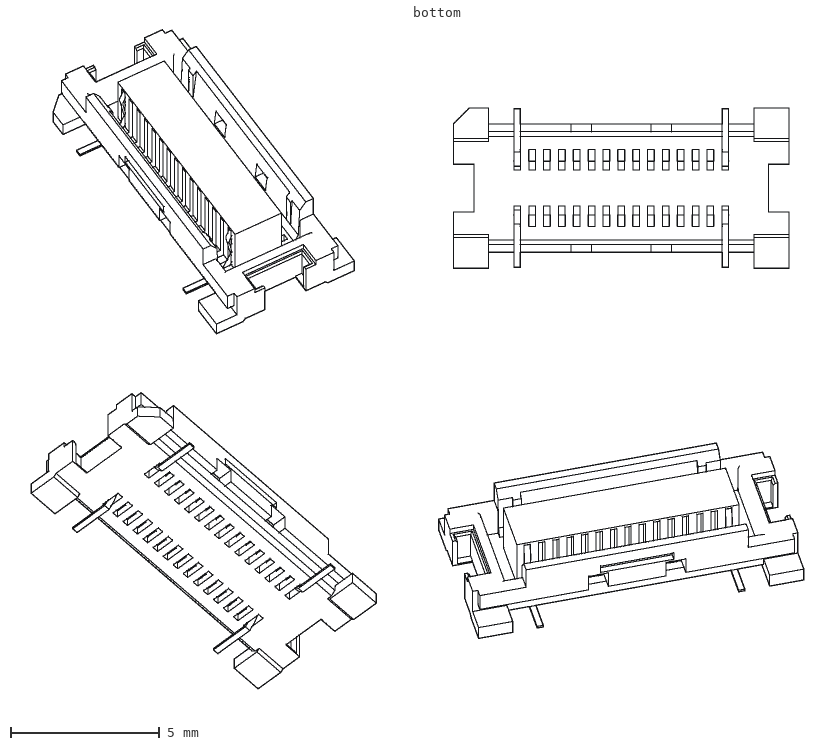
import cadquery as cq

TOP_Z = 2.32
RIM_Z = 1.5
FLOOR_Z = 0.46
BASE_Z = 0.14
OVERHANG_Z = 0.85

LENGTH = 11.3
BODY_WIDTH = 3.8
OVERHANG_LENGTH = 10.94
OVERHANG_WIDTH = 4.32
UNDERSIDE_CHAMFER = 0.16

CAVITY_LENGTH = 8.94
CAVITY_WIDTH = 3.26
CAVITY_RIM_RADIUS = 0.08
ISLAND_LENGTH = 7.72
ISLAND_WIDTH = 1.82
WALL_LENGTH = ISLAND_LENGTH
WALL_OUTER_Y = OVERHANG_WIDTH / 2
WALL_FOOT_Y = 1.42
WALL_FACE_Y = 1.565
WALL_FOOT_RISE = 0.3
LEAD_IN_TOP_Y = 1.86
LEAD_IN_BOTTOM_Z = 1.95

MIDDLE_RECESS_HALF = 3.07
MIDDLE_RECESS_Y = 1.7
END_RECESS_START = 3.36
END_RECESS_Y = 1.62

WINDOW_WIDTH = 0.68
WINDOW_X = 1.345
WINDOW_TOP_Z = 1.48
WALL_POCKET_LENGTH = 2.54
WALL_POCKET_BOTTOM_Z = 1.57
WALL_POCKET_TOP_Z = 1.86
WALL_POCKET_DEPTH = 0.22

END_STEP_X = 4.83
END_STEP_WIDTH = 2.38
END_STEP_Z = 1.29
END_POCKET_WIDTH = 2.1
END_POCKET_INNER_X = 4.96
END_POCKET_OUTER_X = 5.48
END_POCKET_FLOOR_Z = 0.2
END_POCKET_CHAMFER = 0.07
END_NOTCH_WIDTH = 1.6

FOOT_LENGTH = 1.19
FOOT_OUTER_Y = 2.7
FOOT_INNER_Y = 1.56
FOOT_TOP_Z = 0.55
FOOT_BOTTOM_Z = 0.035
CORNER_CHAMFER = 0.54

SLOT_COUNT = 15
SLOT_PITCH = 0.5
SLOT_WIDTH = 0.22
SLOT_INNER_Y = 0.6
SLOT_OUTER_Y = 1.29
SLOT_TOP_Z = 2.22
CONTACT_THICKNESS = 0.08
TAIL_TIP_Y = 2.67
TAIL_BEND_Y = 1.21
BEAM_FOOT_Y = 1.0
BEAM_FOOT_Z = 0.24
BEAM_WAIST_Y = 0.77
BEAM_WAIST_Z = 0.75
BUMP_Y = 0.99
BUMP_BOTTOM_Z = 1.59
BUMP_TOP_Z = 1.8
BEAM_TIP_Y = 0.82
BEAM_TIP_Z = 2.14


def block(x_range, y_range, z_range):
    """Box spanning the given (low, high) ranges."""
    spans = (x_range, y_range, z_range)
    sizes = [high - low for low, high in spans]
    corner = tuple(low for low, high in spans)
    return cq.Workplane("XY").box(*sizes, centered=False).translate(corner)


def centred_block(length, width, z_range):
    """Box centred on the Z axis."""
    return block((-length / 2, length / 2), (-width / 2, width / 2), z_range)


def extrude_yz(points, x_range):
    """Prism with a (Y, Z) outline, running along X."""
    low, high = x_range
    return cq.Workplane("YZ").polyline(points).close().extrude(high - low).translate((low, 0, 0))


def both_sides(shape):
    """The shape together with its mirror image across the XZ plane."""
    return shape.union(shape.mirror("XZ"))


def both_ends(shape):
    """The shape together with its mirror image across the YZ plane."""
    return shape.union(shape.mirror("YZ"))


def base_tray():
    """Lower block with its side overhang and the mating cavity."""
    body = centred_block(LENGTH, BODY_WIDTH, (BASE_Z, RIM_Z))
    body = body.faces("<Z").edges("|X").chamfer(UNDERSIDE_CHAMFER)
    body = body.union(centred_block(OVERHANG_LENGTH, OVERHANG_WIDTH, (OVERHANG_Z, RIM_Z)))
    cavity = centred_block(CAVITY_LENGTH, CAVITY_WIDTH, (FLOOR_Z, RIM_Z))
    body = body.cut(cavity)
    reach_x = CAVITY_LENGTH / 2 + CAVITY_RIM_RADIUS
    reach_y = CAVITY_WIDTH / 2 + CAVITY_RIM_RADIUS
    inside_rim = cq.selectors.BoxSelector(
        (-reach_x, -reach_y, RIM_Z - CAVITY_RIM_RADIUS),
        (reach_x, reach_y, RIM_Z + CAVITY_RIM_RADIUS),
    )
    return body.edges(inside_rim).fillet(CAVITY_RIM_RADIUS)


def lead_in_z(y):
    """Height of the sloping lead-in face at a given Y."""
    slope = (TOP_Z - LEAD_IN_BOTTOM_Z) / (LEAD_IN_TOP_Y - WALL_FACE_Y)
    return LEAD_IN_BOTTOM_Z + slope * (y - WALL_FACE_Y)


def wall_recess(x_range, top_y):
    """Drafted relief in the inner face of the +Y wall."""
    outline = [
        (WALL_FACE_Y, FLOOR_Z + WALL_FOOT_RISE),
        (top_y, lead_in_z(top_y)),
        (WALL_FACE_Y, lead_in_z(top_y)),
    ]
    return extrude_yz(outline, x_range)


def side_wall():
    """The raised +Y wall with its lead-in and flared foot."""
    half = WALL_LENGTH / 2
    outline = [
        (WALL_OUTER_Y, OVERHANG_Z),
        (WALL_OUTER_Y, TOP_Z),
        (LEAD_IN_TOP_Y, TOP_Z),
        (WALL_FACE_Y, LEAD_IN_BOTTOM_Z),
        (WALL_FACE_Y, FLOOR_Z + WALL_FOOT_RISE),
        (WALL_FOOT_Y, FLOOR_Z),
        (BODY_WIDTH / 2, FLOOR_Z),
        (BODY_WIDTH / 2, OVERHANG_Z),
    ]
    return extrude_yz(outline, (-half, half))


def wall_recesses():
    """One long recess in the middle of the +Y wall and a shallower one at each end."""
    middle = wall_recess((-MIDDLE_RECESS_HALF, MIDDLE_RECESS_HALF), MIDDLE_RECESS_Y)
    end = wall_recess((END_RECESS_START, WALL_LENGTH / 2), END_RECESS_Y)
    return middle.union(both_ends(end))


def wall_openings():
    """Two through windows and one blind pocket, cut into the +Y wall from outside."""
    window = block(
        (WINDOW_X - WINDOW_WIDTH / 2, WINDOW_X + WINDOW_WIDTH / 2),
        (WALL_FOOT_Y, WALL_OUTER_Y),
        (OVERHANG_Z, WINDOW_TOP_Z),
    )
    pocket = block(
        (-WALL_POCKET_LENGTH / 2, WALL_POCKET_LENGTH / 2),
        (WALL_OUTER_Y - WALL_POCKET_DEPTH, WALL_OUTER_Y),
        (WALL_POCKET_BOTTOM_Z, WALL_POCKET_TOP_Z),
    )
    return both_ends(window).union(pocket)


def end_recess():
    """Stepped recess, chamfered pocket and through notch in the +X end."""
    end_x = LENGTH / 2
    step = block((END_STEP_X, end_x), (-END_STEP_WIDTH / 2, END_STEP_WIDTH / 2), (END_STEP_Z, RIM_Z))
    pocket_length = END_POCKET_OUTER_X - END_POCKET_INNER_X
    pocket_x = (END_POCKET_OUTER_X + END_POCKET_INNER_X) / 2
    pocket = centred_block(pocket_length, END_POCKET_WIDTH, (END_POCKET_FLOOR_Z, END_STEP_Z))
    flare = (
        cq.Workplane("XY", origin=(0, 0, END_STEP_Z - END_POCKET_CHAMFER))
        .rect(pocket_length, END_POCKET_WIDTH)
        .workplane(offset=END_POCKET_CHAMFER)
        .rect(pocket_length + 2 * END_POCKET_CHAMFER, END_POCKET_WIDTH + 2 * END_POCKET_CHAMFER)
        .loft()
    )
    pocket = pocket.union(flare).translate((pocket_x, 0, 0))
    notch = block((END_POCKET_INNER_X, end_x), (-END_NOTCH_WIDTH / 2, END_NOTCH_WIDTH / 2), (BASE_Z, RIM_Z))
    return step.union(pocket).union(notch)


def feet():
    """Four mounting feet; the one at -X, -Y has a bevelled corner."""
    end_x = LENGTH / 2
    outline = [
        (FOOT_OUTER_Y, FOOT_BOTTOM_Z),
        (FOOT_OUTER_Y, FOOT_TOP_Z),
        (FOOT_INNER_Y, FOOT_TOP_Z),
        (FOOT_INNER_Y, BASE_Z),
        (FOOT_INNER_Y + BASE_Z - FOOT_BOTTOM_Z, FOOT_BOTTOM_Z),
    ]
    foot = extrude_yz(outline, (end_x - FOOT_LENGTH, end_x))
    four_feet = both_sides(both_ends(foot))
    bevel = (
        cq.Workplane("XY")
        .polyline([
            (-end_x, -FOOT_OUTER_Y),
            (-end_x + CORNER_CHAMFER, -FOOT_OUTER_Y),
            (-end_x, -FOOT_OUTER_Y + CORNER_CHAMFER),
        ])
        .close()
        .extrude(TOP_Z)
    )
    return four_feet.cut(bevel)


def contact_slots():
    """Both rows of contact slots, running up the island and through the floor."""
    slot = block((-SLOT_WIDTH / 2, SLOT_WIDTH / 2), (SLOT_INNER_Y, SLOT_OUTER_Y), (BASE_Z, SLOT_TOP_Z))
    pair = both_sides(slot)
    first_x = -SLOT_PITCH * (SLOT_COUNT - 1) / 2
    slots = cq.Workplane("XY")
    for index in range(SLOT_COUNT):
        slots = slots.add(pair.translate((first_x + index * SLOT_PITCH, 0, 0)))
    return slots.combine()


def make_housing():
    island = centred_block(ISLAND_LENGTH, ISLAND_WIDTH, (FLOOR_Z, TOP_Z))
    body = base_tray().union(island)
    body = body.union(both_sides(side_wall()))
    body = body.cut(both_sides(wall_recesses()))
    body = body.cut(both_sides(wall_openings()))
    body = body.cut(both_ends(end_recess()))
    body = body.union(feet())
    return body.cut(contact_slots())


def make_contact():
    """Contact of the +Y row at X = 0: flat tail, sloping rise, spring beam and bump."""
    t = CONTACT_THICKNESS
    bump_mid_z = (BUMP_BOTTOM_Z + BUMP_TOP_Z) / 2
    outline = (
        cq.Workplane("YZ")
        .moveTo(TAIL_TIP_Y, 0)
        .lineTo(TAIL_TIP_Y, t)
        .lineTo(TAIL_BEND_Y + t / 2, t)
        .lineTo(BEAM_FOOT_Y + t, BEAM_FOOT_Z)
        .lineTo(BEAM_WAIST_Y + t / 2, BEAM_WAIST_Z)
        .lineTo(BUMP_Y - t / 4, BUMP_BOTTOM_Z)
        .threePointArc((BUMP_Y, bump_mid_z), (BUMP_Y - t / 4, BUMP_TOP_Z))
        .lineTo(BEAM_TIP_Y, BEAM_TIP_Z)
        .lineTo(BEAM_TIP_Y - t, BEAM_TIP_Z)
        .lineTo(BUMP_Y - t, bump_mid_z)
        .lineTo(BEAM_WAIST_Y - t / 2, BEAM_WAIST_Z)
        .lineTo(BEAM_FOOT_Y, BEAM_FOOT_Z)
        .lineTo(TAIL_BEND_Y, 0)
        .close()
    )
    return outline.extrude(SLOT_WIDTH / 2, both=True)


def place_contacts():
    """Four contacts, one in each outermost slot of the two rows."""
    outermost_x = SLOT_PITCH * (SLOT_COUNT - 1) / 2
    placed = []
    for x in (-outermost_x, outermost_x):
        contact = make_contact().translate((x, 0, 0))
        placed.append(contact.val())
        placed.append(contact.mirror("XZ").val())
    return placed


housing = make_housing()
contacts = place_contacts()
result = cq.Compound.makeCompound([housing.val(), *contacts])